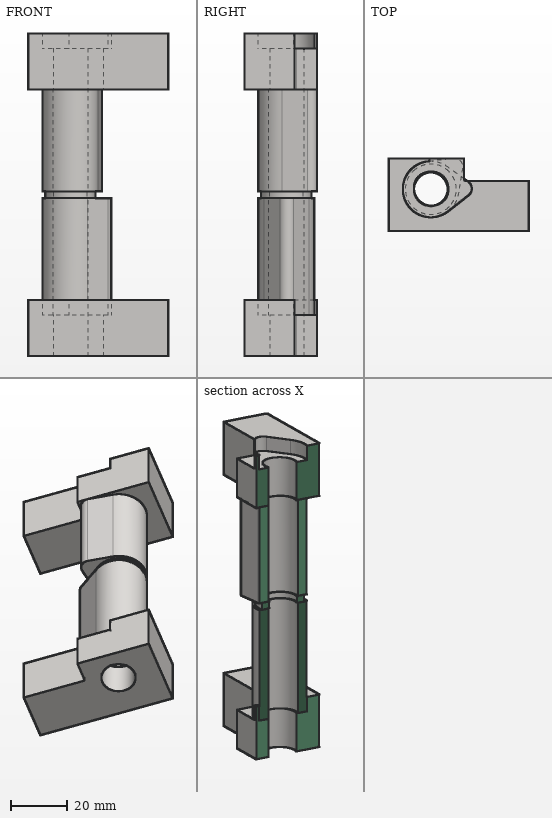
import cadquery as cq
import math

block_length = 50.0
block_width = 26.0
block_height = 20.0
land_length = 26.9
wing_width = 17.9
notch_fillet = 0.7
pocket_depth = 5.4
opening_start_x = 14.6
opening_end_x = 28.5
overall_height = 115.0
block_bore = 12.2
block_bore_x = 15.2
block_bore_y = 15.2

axis_x = 15.1
axis_y = 15.0
barrel_radius = 10.0
tip_radius = 3.0
tip_reach = 11.6
lower_tip_angle = 1.0
upper_tip_angle = 43.8
knuckle_bore = 12.5

washer_diameter = 18.0
washer_bore = 12.0
washer_thickness = 2.4

upper_block_z = overall_height - block_height
gap_between_blocks = upper_block_z - block_height
knuckle_exposed = (gap_between_blocks - washer_thickness) / 2
washer_z = block_height + knuckle_exposed
upper_knuckle_z = washer_z + washer_thickness


def teardrop(tip_angle, height):
    """Prism: a round barrel joined by tangent flats to a smaller rounded tip along +X, then turned."""
    flat_angle = math.acos((barrel_radius - tip_radius) / tip_reach)
    normal_x = math.cos(flat_angle)
    normal_y = math.sin(flat_angle)
    barrel_tangent_x = barrel_radius * normal_x
    barrel_tangent_y = barrel_radius * normal_y
    tip_tangent_x = tip_reach + tip_radius * normal_x
    tip_tangent_y = tip_radius * normal_y
    return (
        cq.Workplane("XY")
        .moveTo(barrel_tangent_x, barrel_tangent_y)
        .threePointArc((-barrel_radius, 0), (barrel_tangent_x, -barrel_tangent_y))
        .lineTo(tip_tangent_x, -tip_tangent_y)
        .threePointArc((tip_reach + tip_radius, 0), (tip_tangent_x, tip_tangent_y))
        .close()
        .extrude(height)
        .rotate((0, 0, 0), (0, 0, 1), tip_angle)
        .translate((axis_x, axis_y, 0))
    )


def cylinder(x, y, diameter, height):
    return cq.Workplane("XY").center(x, y).circle(diameter / 2).extrude(height)


def make_pocket():
    """Teardrop recess that also opens through the +Y side."""
    opening = cq.Workplane("XY").box(
        opening_end_x - opening_start_x, block_width - axis_y, pocket_depth, centered=False
    ).translate((opening_start_x, axis_y, 0))
    return teardrop(lower_tip_angle, pocket_depth).union(opening)


def make_block(base_z):
    block = (
        cq.Workplane("XY")
        .polyline([
            (0, 0),
            (block_length, 0),
            (block_length, wing_width),
            (land_length, wing_width),
            (land_length, block_width),
            (0, block_width),
        ])
        .close()
        .extrude(block_height)
    )
    inner_corner = cq.selectors.NearestToPointSelector((land_length, wing_width, block_height / 2))
    block = block.edges("|Z").edges(inner_corner).fillet(notch_fillet)
    block = block.cut(make_pocket().translate((0, 0, block_height - pocket_depth)))
    block = block.cut(cylinder(block_bore_x, block_bore_y, block_bore, block_height))
    return block.translate((0, 0, base_z))


def make_knuckle(tip_angle, bottom_z, top_z):
    height = top_z - bottom_z
    knuckle = teardrop(tip_angle, height).cut(cylinder(axis_x, axis_y, knuckle_bore, height))
    return knuckle.translate((0, 0, bottom_z))


def make_washer():
    ring = cylinder(axis_x, axis_y, washer_diameter, washer_thickness)
    ring = ring.cut(cylinder(axis_x, axis_y, washer_bore, washer_thickness))
    return ring.translate((0, 0, washer_z))


blocks = [make_block(base_z) for base_z in (0, upper_block_z)]
knuckles = [
    make_knuckle(tip_angle, bottom_z, top_z)
    for tip_angle, bottom_z, top_z in (
        (lower_tip_angle, block_height - pocket_depth, washer_z),
        (upper_tip_angle, upper_knuckle_z, upper_block_z),
    )
]
washer = make_washer()

result = cq.Compound.makeCompound([body.val() for body in [*blocks, *knuckles, washer]])